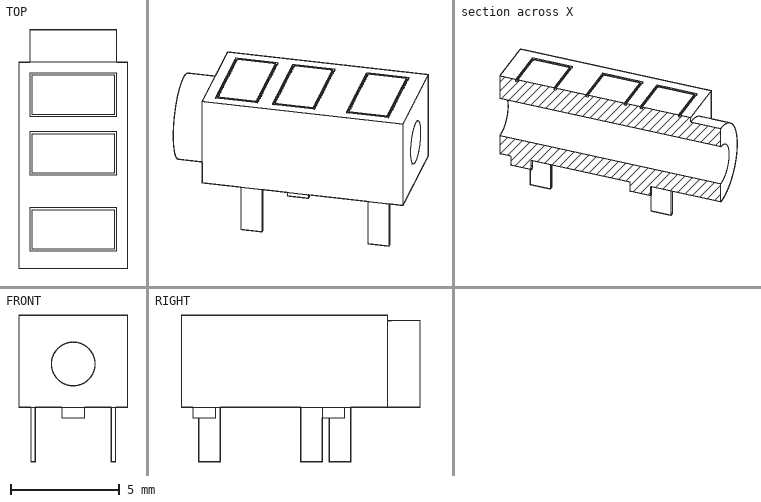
import cadquery as cq

body_width = 5.0
body_length = 9.5
body_height = 4.25
overall_length = 11.0

barrel_diameter = 4.0
barrel_length = overall_length - body_length
bore_diameter = 2.0
axis_height = barrel_diameter / 2

panel_width = 4.0
panel_length = 2.0
groove_width = 0.1
groove_depth = 0.1
panel_centers_y = (1.8, 5.3, 8.0)

pin_thickness = 0.2
pin_width = 1.0
pin_length = 2.51
pin_offset_x = 1.85
pin_places = ((-1, 1.3), (1, 6.0), (-1, 7.3))

peg_diameter = 1.05
peg_length = 0.5
peg_centers_y = (1.06, 7.0)


def box_at(size, center_x, center_y, bottom_z):
    """Box centered in X and Y that stands on bottom_z."""
    return (
        cq.Workplane("XY")
        .box(*size, centered=(True, True, False))
        .translate((center_x, center_y, bottom_z))
    )


def axial_cylinder(diameter, start_y, length):
    """Cylinder on the socket axis, running toward +Y."""
    return (
        cq.Workplane("XZ", origin=(0, start_y, axis_height))
        .circle(diameter / 2)
        .extrude(-length)
    )


def panel_groove(center_y):
    """Rectangular ring cut down from the top face."""
    floor_z = body_height - groove_depth
    outer = box_at((panel_width, panel_length, groove_depth), 0, center_y, floor_z)
    inner_width = panel_width - 2 * groove_width
    inner_length = panel_length - 2 * groove_width
    inner = box_at((inner_width, inner_length, groove_depth), 0, center_y, floor_z)
    return outer.cut(inner)


result = box_at((body_width, body_length, body_height), 0, body_length / 2, 0)
result = result.union(axial_cylinder(barrel_diameter, body_length, barrel_length))
result = result.cut(axial_cylinder(bore_diameter, 0, overall_length))

for center_y in panel_centers_y:
    result = result.cut(panel_groove(center_y))

for side, center_y in pin_places:
    pin_size = (pin_thickness, pin_width, pin_length)
    result = result.union(box_at(pin_size, side * pin_offset_x, center_y, -pin_length))

for center_y in peg_centers_y:
    peg = (
        cq.Workplane("XY", origin=(0, center_y, 0))
        .circle(peg_diameter / 2)
        .extrude(-peg_length)
    )
    result = result.union(peg)